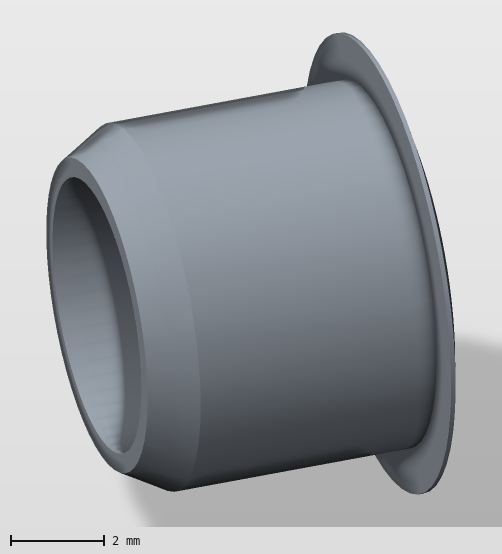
import cadquery as cq
import math

cap_diameter = 10
shank_diameter = 8
bore_diameter = 6
total_length = 7.27
shank_length = 6.3
rim_thickness = 0.1
taper_length = 1
taper_angle = 30

cap_radius = cap_diameter / 2
shank_radius = shank_diameter / 2
tip_radius = shank_radius - taper_length * math.tan(math.radians(taper_angle))

tip_y = -shank_length
dome_top_y = total_length - shank_length
dome_height = dome_top_y - rim_thickness

dome_radius = (cap_radius**2 + dome_height**2) / (2 * dome_height)
dome_center_y = dome_top_y - dome_radius
half_arc_angle = math.asin(cap_radius / dome_radius) / 2
dome_mid_point = (
    dome_radius * math.sin(half_arc_angle),
    dome_center_y + dome_radius * math.cos(half_arc_angle),
)

plug = (
    cq.Workplane("XY")
    .moveTo(0, tip_y)
    .lineTo(tip_radius, tip_y)
    .lineTo(shank_radius, tip_y + taper_length)
    .lineTo(shank_radius, 0)
    .lineTo(cap_radius, 0)
    .lineTo(cap_radius, rim_thickness)
    .threePointArc(dome_mid_point, (0, dome_top_y))
    .close()
    .revolve(360, (0, 0), (0, 1))
)

bore = cq.Workplane("XZ").circle(bore_diameter / 2).extrude(shank_length)

result = plug.cut(bore)